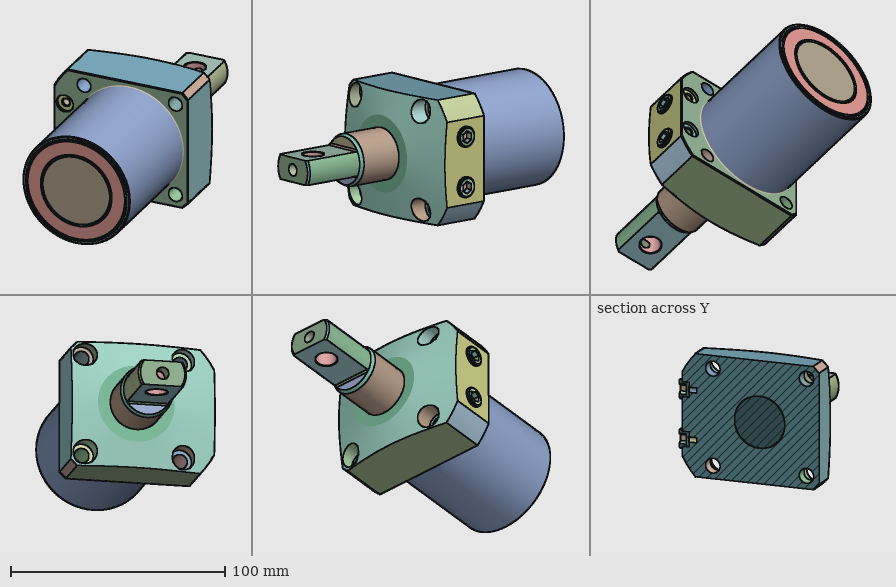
import cadquery as cq
import math

BARREL_RADIUS = 27.5
BARREL_EDGE_CHAMFER = 0.5
BARREL_ROOT_FILLET = 0.5
FLANGE_START = 59.0
FLANGE_END = 89.0
FLANGE_HALF = 30.0
FLANGE_LEFT = 39.0
FLANGE_CORNER_RADIUS = 44.0
FLANGE_CORNER_CHAMFER = 3.0
FLANGE_EDGE_CHAMFER = 0.5
NOSE_RADIUS = 18.4
NOSE_ANGLE = 15.0

BOLT_OFFSET = 23.5
BOLT_HOLE_DIAMETER = 7.0
BOLT_HEAD_DIAMETER = 11.0
BOLT_SEAT = 77.5

PORT_HEIGHT = 12.0
PORT_X = -33.5
SEAL_RECESS_DIAMETER = 8.6
SEAL_RECESS_DEPTH = 1.5
PORT_DIAMETER = 3.5
PORT_CHAMFER = 0.5
PASSAGE_Y = 70.9
PASSAGE_DIAMETER = 2.9
PLUG_SHANK_DIAMETER = 7.2
PLUG_SHANK_LENGTH = 3.5
PLUG_HEAD_DIAMETER = 9.8
PLUG_HEAD_HEIGHT = 1.5
PLUG_HEAD_CHAMFER = 0.6
SOCKET_ACROSS_FLATS = 5.0
SOCKET_DEPTH = 3.5

CAP_RADIUS = 25.5
CAP_THICKNESS = 8.6
CAP_SEAM_CHAMFER = 0.6
CAP_GROOVE_RADIUS = 17.8
CAP_GROOVE_HALF_WIDTH = 0.6

ROD_RADIUS = 12.5
ROD_START = FLANGE_START
ROD_END = 143.5
SHOULDER_Y = 112.2
SHOULDER_CHAMFER_LENGTH = 1.9
SHOULDER_CHAMFER_RADIAL = 1.0
TONGUE_RADIUS = ROD_RADIUS - SHOULDER_CHAMFER_RADIAL
TONGUE_THICKNESS = 11.8
TONGUE_ROOT_CHAMFER = 0.9
TIP_CHAMFER = 0.9
EYE_DIAMETER = 10.0
EYE_CHAMFER = 0.3
TIP_HOLE_DIAMETER = 5.7
EYE_FROM_TIP = 12.5


def revolve_about_y(points):
    """Turn a closed (radius, y) outline about the Y axis."""
    return cq.Workplane("XY").polyline(points).close().revolve(360, (0, 0, 0), (0, 1, 0))


def cylinder(origin, direction, diameter, length):
    """A cylinder that starts at origin and runs along direction."""
    return cq.Workplane(cq.Solid.makeCylinder(diameter / 2, length, cq.Vector(*origin), cq.Vector(*direction)))


def make_flange():
    """Flange block with two rounded and two bevelled corners and a conical nose."""
    corner_x = -math.sqrt(FLANGE_CORNER_RADIUS**2 - FLANGE_HALF**2)
    corner_z = math.sqrt(FLANGE_CORNER_RADIUS**2 - FLANGE_LEFT**2)
    middle_angle = (math.atan2(FLANGE_HALF, -corner_x) + math.atan2(corner_z, FLANGE_LEFT)) / 2
    middle_x = -FLANGE_CORNER_RADIUS * math.cos(middle_angle)
    middle_z = FLANGE_CORNER_RADIUS * math.sin(middle_angle)
    bevel_start = FLANGE_HALF - FLANGE_CORNER_CHAMFER

    flange = (
        cq.Workplane("XZ", origin=(0, FLANGE_START, 0))
        .moveTo(corner_x, FLANGE_HALF)
        .lineTo(bevel_start, FLANGE_HALF)
        .lineTo(FLANGE_HALF, bevel_start)
        .lineTo(FLANGE_HALF, -bevel_start)
        .lineTo(bevel_start, -FLANGE_HALF)
        .lineTo(corner_x, -FLANGE_HALF)
        .threePointArc((middle_x, -middle_z), (-FLANGE_LEFT, -corner_z))
        .lineTo(-FLANGE_LEFT, corner_z)
        .threePointArc((middle_x, middle_z), (corner_x, FLANGE_HALF))
        .close()
        .extrude(FLANGE_START - FLANGE_END)
        .faces("<Y")
        .chamfer(FLANGE_EDGE_CHAMFER)
    )
    cone_drop = (FLANGE_CORNER_RADIUS - NOSE_RADIUS) * math.tan(math.radians(NOSE_ANGLE))
    nose_envelope = revolve_about_y([
        (0, FLANGE_START),
        (FLANGE_CORNER_RADIUS, FLANGE_START),
        (FLANGE_CORNER_RADIUS, FLANGE_END - cone_drop),
        (NOSE_RADIUS, FLANGE_END),
        (0, FLANGE_END),
    ])
    return flange.intersect(nose_envelope)


def make_barrel():
    """Barrel with a bevelled rear edge and a small fillet against the flange."""
    return (
        cq.Workplane("XY")
        .lineTo(BARREL_RADIUS - BARREL_EDGE_CHAMFER, 0)
        .lineTo(BARREL_RADIUS, BARREL_EDGE_CHAMFER)
        .lineTo(BARREL_RADIUS, FLANGE_START - BARREL_ROOT_FILLET)
        .radiusArc((BARREL_RADIUS + BARREL_ROOT_FILLET, FLANGE_START), BARREL_ROOT_FILLET)
        .lineTo(0, FLANGE_START)
        .close()
        .revolve(360, (0, 0, 0), (0, 1, 0))
    )


def cut_bolt_holes(housing):
    for x in (-BOLT_OFFSET, BOLT_OFFSET):
        for z in (-BOLT_OFFSET, BOLT_OFFSET):
            hole = cylinder((x, FLANGE_START, z), (0, 1, 0), BOLT_HOLE_DIAMETER, FLANGE_END - FLANGE_START)
            head = cylinder((x, BOLT_SEAT, z), (0, 1, 0), BOLT_HEAD_DIAMETER, FLANGE_END - BOLT_SEAT)
            housing = housing.cut(hole).cut(head)
    return housing


def cut_ports(housing):
    """Each face port meets a cross passage that the side plug closes."""
    recess_floor = FLANGE_START + SEAL_RECESS_DEPTH
    for z in (-PORT_HEIGHT, PORT_HEIGHT):
        recess = cylinder((PORT_X, FLANGE_START, z), (0, 1, 0), SEAL_RECESS_DIAMETER, SEAL_RECESS_DEPTH)
        port = cylinder((PORT_X, recess_floor, z), (0, 1, 0), PORT_DIAMETER, PASSAGE_Y - recess_floor)
        mouth = cq.Workplane(cq.Solid.makeCone(
            PORT_DIAMETER / 2 + PORT_CHAMFER, PORT_DIAMETER / 2, PORT_CHAMFER,
            cq.Vector(PORT_X, recess_floor, z), cq.Vector(0, 1, 0),
        ))
        passage_length = PORT_X + PORT_DIAMETER / 2 + FLANGE_LEFT
        passage = cylinder((-FLANGE_LEFT, PASSAGE_Y, z), (1, 0, 0), PASSAGE_DIAMETER, passage_length)
        seat = cylinder((-FLANGE_LEFT, PASSAGE_Y, z), (1, 0, 0), PLUG_SHANK_DIAMETER, PLUG_SHANK_LENGTH)
        for cutter in (recess, port, mouth, passage, seat):
            housing = housing.cut(cutter)
    return housing


def make_housing():
    housing = make_flange().union(make_barrel())
    rod_bore = cylinder((0, ROD_START, 0), (0, 1, 0), 2 * ROD_RADIUS, FLANGE_END - ROD_START)
    cap_bore = revolve_about_y([
        (0, 0),
        (CAP_RADIUS + CAP_SEAM_CHAMFER, 0),
        (CAP_RADIUS, CAP_SEAM_CHAMFER),
        (CAP_RADIUS, CAP_THICKNESS),
        (0, CAP_THICKNESS),
    ])
    return cut_ports(cut_bolt_holes(housing.cut(rod_bore).cut(cap_bore)))


def make_cap():
    """Disc closing the barrel, with a bevelled rim and a V groove in its face."""
    return revolve_about_y([
        (0, 0),
        (CAP_GROOVE_RADIUS - CAP_GROOVE_HALF_WIDTH, 0),
        (CAP_GROOVE_RADIUS, CAP_GROOVE_HALF_WIDTH),
        (CAP_GROOVE_RADIUS + CAP_GROOVE_HALF_WIDTH, 0),
        (CAP_RADIUS - CAP_SEAM_CHAMFER, 0),
        (CAP_RADIUS, CAP_SEAM_CHAMFER),
        (CAP_RADIUS, CAP_THICKNESS),
        (0, CAP_THICKNESS),
    ])


def make_rod():
    """Round rod ending in a flat tongue with a cross eye and a hole in its tip."""
    rod = revolve_about_y([
        (0, ROD_START),
        (ROD_RADIUS, ROD_START),
        (ROD_RADIUS, SHOULDER_Y - SHOULDER_CHAMFER_LENGTH),
        (TONGUE_RADIUS, SHOULDER_Y),
        (TONGUE_RADIUS, ROD_END - TIP_CHAMFER),
        (TONGUE_RADIUS - TIP_CHAMFER, ROD_END),
        (0, ROD_END),
    ])
    half = TONGUE_THICKNESS / 2
    flat_cutter = (
        cq.Workplane("YZ", origin=(-ROD_RADIUS, 0, 0))
        .moveTo(SHOULDER_Y, ROD_RADIUS)
        .lineTo(SHOULDER_Y, half + TONGUE_ROOT_CHAMFER)
        .lineTo(SHOULDER_Y + TONGUE_ROOT_CHAMFER, half)
        .lineTo(ROD_END, half)
        .lineTo(ROD_END, ROD_RADIUS)
        .close()
        .extrude(2 * ROD_RADIUS)
    )
    eye_y = ROD_END - EYE_FROM_TIP
    eye_radius = EYE_DIAMETER / 2
    mouth_radius = eye_radius + EYE_CHAMFER
    eye = (
        cq.Workplane("XZ")
        .moveTo(0, -half)
        .lineTo(mouth_radius, -half)
        .lineTo(eye_radius, EYE_CHAMFER - half)
        .lineTo(eye_radius, half - EYE_CHAMFER)
        .lineTo(mouth_radius, half)
        .lineTo(0, half)
        .close()
        .revolve(360, (0, 0, 0), (0, 1, 0))
        .translate((0, eye_y, 0))
    )
    tip_hole = cylinder((0, eye_y, 0), (0, 1, 0), TIP_HOLE_DIAMETER, EYE_FROM_TIP)
    return rod.cut(flat_cutter).cut(flat_cutter.mirror("XY")).cut(eye).cut(tip_hole)


def make_plug(z):
    """Side plug with a bevelled head and a hexagon socket, screwed in along +X."""
    outer_face = -FLANGE_LEFT - PLUG_HEAD_HEIGHT
    head = (
        cylinder((outer_face, PASSAGE_Y, z), (1, 0, 0), PLUG_HEAD_DIAMETER, PLUG_HEAD_HEIGHT)
        .faces("<X")
        .chamfer(PLUG_HEAD_CHAMFER)
    )
    shank = cylinder((-FLANGE_LEFT, PASSAGE_Y, z), (1, 0, 0), PLUG_SHANK_DIAMETER, PLUG_SHANK_LENGTH)
    corner_radius = SOCKET_ACROSS_FLATS / math.sqrt(3)
    corner_angles = [math.radians(90 + 60 * i) for i in range(6)]
    socket = (
        cq.Workplane("YZ", origin=(outer_face, PASSAGE_Y, z))
        .polyline([(corner_radius * math.cos(a), corner_radius * math.sin(a)) for a in corner_angles])
        .close()
        .extrude(SOCKET_DEPTH)
    )
    return head.union(shank).cut(socket)


housing = make_housing()
cap = make_cap()
rod = make_rod()
plugs = [make_plug(z) for z in (-PORT_HEIGHT, PORT_HEIGHT)]

result = cq.Compound.makeCompound([
    housing.val(),
    cap.val(),
    rod.val(),
    *[plug.val() for plug in plugs],
])